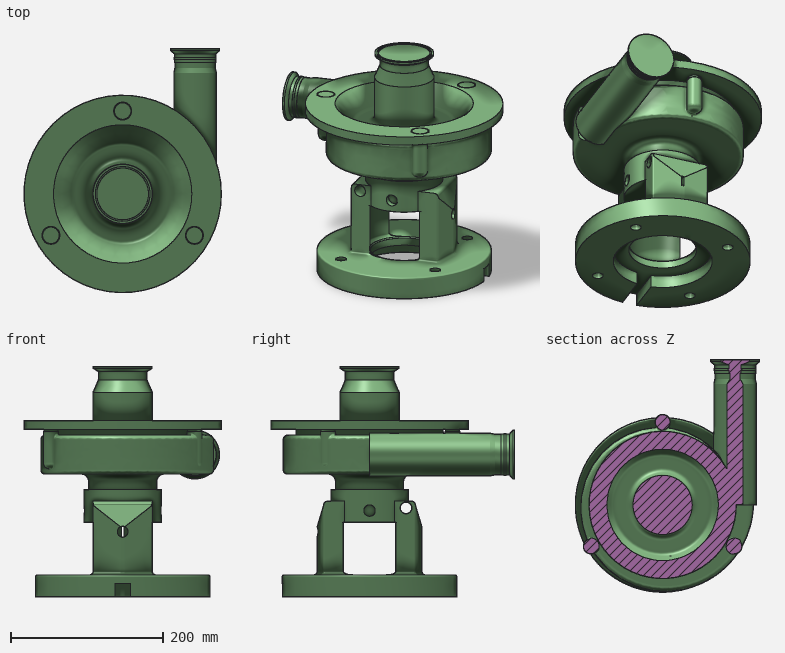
import cadquery as cq
import math


SELECTION_MARGIN = 1.0

QUARTER_ROUND_MID = 1 - math.sqrt(0.5)

BASE_RADIUS = 115.0
BASE_HEIGHT = 29.0
BASE_EDGE_FILLET = 3.0
BASE_BORE_RADIUS = 44.5
BASE_BORE_CHAMFER = 1.5
SPIGOT_RADIUS = 65.0
SPIGOT_DEPTH = 17.5
BASE_HOLE_CIRCLE_RADIUS = 92.5
BASE_HOLE_DIAMETER = 14.0
BASE_HOLE_COUNT = 4
BASE_FIRST_HOLE_ANGLE = 45.0
NOTCH_WIDTH = 20.0
NOTCH_HEIGHT = SPIGOT_DEPTH

ADAPTER_RADIUS = 51.0
ADAPTER_BOTTOM_Z = 98.0
ADAPTER_TOP_Z = 141.0
ADAPTER_HOLE_DIAMETER = 15.0
ADAPTER_HOLE_DEPTH = 10.0
ADAPTER_HOLE_Z = 113.5
NECK_RADIUS = 44.9
NECK_FLARE_RADIUS = 10.0

LEG_HALF_WIDTH = 39.0
LEG_INNER_RADIUS = 52.0
LEG_SIDE_Y = 60.5
LEG_RIDGE_Y = 69.0
LEG_RIDGE_HALF_WIDTH = 2.6
LEG_TOP_Z = 126.0
LEG_SLOPE_BOTTOM_Z = 92.0
LEG_TOP_FILLET = 5.5
LEG_SLOPE_TOP_Z = LEG_TOP_Z - LEG_TOP_FILLET
LEG_CORNER_FILLET = 2.5
LEG_FOOT_FILLET = 4.5
LEG_HOLE_DIAMETER = 14.0
LEG_HOLE_Z = 85.7
LEG_SLOT_WIDTH = 3.0
CROSS_HOLE_DIAMETER = 15.0
CROSS_HOLE_Y = 48.0
CROSS_HOLE_Z = 117.0

CASING_BOTTOM_Z = 161.5
CASING_TOP_Z = 213.0
CASING_MIDDLE_Z = (CASING_BOTTOM_Z + CASING_TOP_Z) / 2
CASING_START_RADIUS = 95.6
CASING_GROWTH = 24.0
CASING_TOP_FILLET = 6.5
CASING_BOTTOM_FILLET = 5.5

COLLAR_RADIUS = 97.0
PLATE_RADIUS = 130.0
PLATE_BOTTOM_Z = 220.5
PLATE_TOP_Z = 232.0
BOWL_MOUTH_RADIUS = 91.0
BOWL_FLOOR_RADIUS = 65.7
BOWL_FLOOR_Z = 205.5
BOWL_FLOOR_FILLET = 7.5

STUD_COUNT = 3
FIRST_STUD_ANGLE = 90.0
STUD_CIRCLE_RADIUS = 109.0
STUD_RADIUS = 10.0
STUD_BOTTOM_Z = 168.5
STUD_END_FILLET = 8.0
STUD_BLEND_FILLET = 2.0
STUD_SPACER_RADIUS = 9.2
STUD_SPACER_BOTTOM_Z = 217.5
STUD_RING_INNER_RADIUS = 10.9
STUD_RING_OUTER_RADIUS = 11.8
STUD_RING_DEPTH = 2.5

INLET_RADIUS = 39.2
INLET_ROOT_FILLET = 9.0
INLET_END_RADIUS = 32.0
INLET_TAPER_BOTTOM_Z = 269.0
INLET_TAPER_TOP_Z = 285.5
INLET_TOP_Z = 303.0
INLET_FLANGE_RADIUS = 38.8
INLET_FLANGE_THICKNESS = 2.5
INLET_FLANGE_CONE_HEIGHT = 4.0
GASKET_GROOVE_INNER_RADIUS = 34.0
GASKET_GROOVE_OUTER_RADIUS = 36.0
GASKET_GROOVE_DEPTH = 1.0

OUTLET_X = 95.3
OUTLET_Z = CASING_MIDDLE_Z
OUTLET_RADIUS = 28.1
OUTLET_NECK_RADIUS = 26.8
OUTLET_END_RADIUS = 27.2
OUTLET_TAPER_START_Y = 159.0
OUTLET_TAPER_END_Y = 165.5
OUTLET_NECK_END_Y = 173.0
OUTLET_BEAD_Y = 178.0
OUTLET_BEAD_WIDTH = 2.5
OUTLET_BEAD_RADIUS = 27.6
OUTLET_END_Y = 191.0
OUTLET_FLANGE_RADIUS = 32.2
OUTLET_FLANGE_THICKNESS = 2.6
OUTLET_FLANGE_CONE_LENGTH = 4.2


def cylinder(radius, bottom, top, x=0.0, y=0.0):
    """Upright cylinder between two heights."""
    return cq.Workplane("XY", origin=(x, y, bottom)).circle(radius).extrude(top - bottom)


def ring(inner_radius, outer_radius, depth, top, x=0.0, y=0.0):
    """Upright ring reaching down from the given height."""
    plane = cq.Workplane("XY", origin=(x, y, top - depth))
    return plane.circle(outer_radius).circle(inner_radius).extrude(depth)


def polar_point(radius, degrees):
    angle = math.radians(degrees)
    return radius * math.cos(angle), radius * math.sin(angle)


def make_leg():
    """The leg on the -Y side."""
    plan = (
        cq.Workplane("XY", origin=(0, 0, BASE_HEIGHT))
        .moveTo(-LEG_HALF_WIDTH, 0)
        .lineTo(-LEG_HALF_WIDTH, -LEG_SIDE_Y)
        .lineTo(-LEG_RIDGE_HALF_WIDTH, -LEG_RIDGE_Y)
        .lineTo(LEG_RIDGE_HALF_WIDTH, -LEG_RIDGE_Y)
        .lineTo(LEG_HALF_WIDTH, -LEG_SIDE_Y)
        .lineTo(LEG_HALF_WIDTH, 0)
        .close()
        .extrude(LEG_TOP_Z - BASE_HEIGHT)
    )
    corner_box = cq.selectors.BoxSelector(
        (-LEG_HALF_WIDTH - SELECTION_MARGIN, -LEG_SIDE_Y - SELECTION_MARGIN, 0),
        (LEG_HALF_WIDTH + SELECTION_MARGIN, -LEG_SIDE_Y + SELECTION_MARGIN, LEG_TOP_Z),
    )
    plan = plan.edges("|Z").edges(corner_box).fillet(LEG_CORNER_FILLET)
    side = (
        cq.Workplane("YZ")
        .moveTo(0, BASE_HEIGHT)
        .lineTo(-LEG_RIDGE_Y, BASE_HEIGHT)
        .lineTo(-LEG_RIDGE_Y, LEG_SLOPE_BOTTOM_Z)
        .lineTo(-LEG_SIDE_Y, LEG_SLOPE_TOP_Z)
        .threePointArc(
            (
                -LEG_SIDE_Y + LEG_TOP_FILLET * QUARTER_ROUND_MID,
                LEG_TOP_Z - LEG_TOP_FILLET * QUARTER_ROUND_MID,
            ),
            (-LEG_SIDE_Y + LEG_TOP_FILLET, LEG_TOP_Z),
        )
        .lineTo(0, LEG_TOP_Z)
        .close()
        .extrude(LEG_HALF_WIDTH, both=True)
    )
    return plan.intersect(side).cut(cylinder(LEG_INNER_RADIUS, BASE_HEIGHT, ADAPTER_BOTTOM_Z))


def make_stand():
    """Base with both legs, the stepped bore, bolt holes and rim notch."""
    base = cylinder(BASE_RADIUS, 0, BASE_HEIGHT).faces(">Z").edges().fillet(BASE_EDGE_FILLET)
    leg = make_leg()
    stand = base.union(leg).union(leg.mirror("XZ"))
    foot_reach = LEG_RIDGE_Y + SELECTION_MARGIN
    foot_box = cq.selectors.BoxSelector(
        (-foot_reach, -foot_reach, BASE_HEIGHT - SELECTION_MARGIN),
        (foot_reach, foot_reach, BASE_HEIGHT + SELECTION_MARGIN),
    )
    stand = stand.edges(foot_box).fillet(LEG_FOOT_FILLET)

    bore = (
        cylinder(BASE_BORE_RADIUS, 0, BASE_HEIGHT)
        .faces(">Z")
        .workplane(offset=-BASE_BORE_CHAMFER)
        .circle(BASE_BORE_RADIUS)
        .workplane(offset=BASE_BORE_CHAMFER)
        .circle(BASE_BORE_RADIUS + BASE_BORE_CHAMFER)
        .loft(combine=True)
    )
    stand = stand.cut(bore)
    stand = stand.cut(cylinder(SPIGOT_RADIUS, 0, SPIGOT_DEPTH))
    for index in range(BASE_HOLE_COUNT):
        x, y = polar_point(BASE_HOLE_CIRCLE_RADIUS, BASE_FIRST_HOLE_ANGLE + index * 360 / BASE_HOLE_COUNT)
        stand = stand.cut(cylinder(BASE_HOLE_DIAMETER / 2, 0, BASE_HEIGHT, x, y))
    notch_length = BASE_RADIUS - BASE_BORE_RADIUS
    notch = cq.Workplane("XY").box(NOTCH_WIDTH, notch_length, NOTCH_HEIGHT, centered=(True, False, False))
    return stand.cut(notch.translate((0, -BASE_RADIUS, 0)))


def make_adapter():
    """Adapter drum and the neck that flares into the casing floor."""
    drum = cylinder(ADAPTER_RADIUS, ADAPTER_BOTTOM_Z, ADAPTER_TOP_Z)
    flare_mid = NECK_FLARE_RADIUS * QUARTER_ROUND_MID
    neck = (
        cq.Workplane("XZ")
        .moveTo(0, ADAPTER_TOP_Z)
        .lineTo(NECK_RADIUS, ADAPTER_TOP_Z)
        .lineTo(NECK_RADIUS, CASING_BOTTOM_Z - NECK_FLARE_RADIUS)
        .threePointArc(
            (NECK_RADIUS + flare_mid, CASING_BOTTOM_Z - flare_mid),
            (NECK_RADIUS + NECK_FLARE_RADIUS, CASING_BOTTOM_Z),
        )
        .lineTo(0, CASING_BOTTOM_Z)
        .close()
        .revolve()
    )
    return drum.union(neck)


def cut_stand_holes(body):
    """Hole in the front leg, slot and cross hole in the rear leg, blind holes in the adapter."""
    leg_hole = (
        cq.Workplane("XZ", origin=(0, 0, LEG_HOLE_Z))
        .circle(LEG_HOLE_DIAMETER / 2)
        .extrude(LEG_RIDGE_Y)
    )
    leg_slot = (
        cq.Workplane("XZ", origin=(0, 0, LEG_HOLE_Z))
        .rect(LEG_SLOT_WIDTH, LEG_HOLE_DIAMETER)
        .extrude(-LEG_RIDGE_Y)
    )
    cross_hole = (
        cq.Workplane("YZ", origin=(0, CROSS_HOLE_Y, CROSS_HOLE_Z))
        .circle(CROSS_HOLE_DIAMETER / 2)
        .extrude(ADAPTER_RADIUS, both=True)
    )
    body = body.cut(leg_hole).cut(leg_slot).cut(cross_hole)
    for side in (-1, 1):
        hole = (
            cq.Workplane("YZ", origin=(side * ADAPTER_RADIUS, 0, ADAPTER_HOLE_Z))
            .circle(ADAPTER_HOLE_DIAMETER / 2)
            .extrude(-side * ADAPTER_HOLE_DEPTH)
        )
        body = body.cut(hole)
    return body


def volute_point(turn):
    """Point on the volute outline after the given fraction of a turn."""
    return polar_point(CASING_START_RADIUS + CASING_GROWTH * turn, 360 * turn)


def make_casing():
    """Volute body; its step at +X lies in the root of the outlet pipe."""
    return (
        cq.Workplane("XY", origin=(0, 0, CASING_BOTTOM_Z))
        .parametricCurve(lambda turn: (*volute_point(turn), 0), makeWire=False)
        .lineTo(*volute_point(0))
        .wire()
        .extrude(CASING_TOP_Z - CASING_BOTTOM_Z)
        .faces(">Z")
        .edges("not %LINE")
        .fillet(CASING_TOP_FILLET)
        .faces("<Z")
        .edges("not %LINE")
        .fillet(CASING_BOTTOM_FILLET)
    )


def make_outlet():
    """Outlet pipe with a bead and a clamp flange."""
    cone_end = OUTLET_END_Y - OUTLET_FLANGE_THICKNESS
    bead_start = OUTLET_BEAD_Y - OUTLET_BEAD_WIDTH / 2
    bead_end = OUTLET_BEAD_Y + OUTLET_BEAD_WIDTH / 2
    profile = [
        (0, 0),
        (OUTLET_RADIUS, 0),
        (OUTLET_RADIUS, OUTLET_TAPER_START_Y),
        (OUTLET_NECK_RADIUS, OUTLET_TAPER_END_Y),
        (OUTLET_NECK_RADIUS, OUTLET_NECK_END_Y),
        (OUTLET_END_RADIUS, OUTLET_NECK_END_Y),
        (OUTLET_END_RADIUS, bead_start),
        (OUTLET_BEAD_RADIUS, bead_start),
        (OUTLET_BEAD_RADIUS, bead_end),
        (OUTLET_END_RADIUS, bead_end),
        (OUTLET_END_RADIUS, cone_end - OUTLET_FLANGE_CONE_LENGTH),
        (OUTLET_FLANGE_RADIUS, cone_end),
        (OUTLET_FLANGE_RADIUS, OUTLET_END_Y),
        (0, OUTLET_END_Y),
    ]
    pipe = cq.Workplane("XY").polyline(profile).close().revolve(360, (0, 0), (0, 1))
    return pipe.translate((OUTLET_X, 0, OUTLET_Z))


def make_cover():
    """Collar and plate, before the bowl is cut out."""
    cover = cylinder(COLLAR_RADIUS, CASING_TOP_Z, PLATE_BOTTOM_Z)
    return cover.union(cylinder(PLATE_RADIUS, PLATE_BOTTOM_Z, PLATE_TOP_Z))


def make_bowl():
    """The conical space inside the cover, with a rounded floor edge."""
    profile = [
        (0, BOWL_FLOOR_Z),
        (BOWL_FLOOR_RADIUS, BOWL_FLOOR_Z),
        (BOWL_MOUTH_RADIUS, PLATE_TOP_Z),
        (0, PLATE_TOP_Z),
    ]
    bowl = cq.Workplane("XZ").polyline(profile).close().revolve()
    return bowl.faces("<Z").edges().fillet(BOWL_FLOOR_FILLET)


def make_inlet():
    """Inlet pipe with a flared root, a taper and a grooved clamp flange."""
    root_mid = INLET_ROOT_FILLET * QUARTER_ROUND_MID
    rim_bottom_z = INLET_TOP_Z - INLET_FLANGE_THICKNESS
    inlet = (
        cq.Workplane("XZ")
        .moveTo(0, BOWL_FLOOR_Z)
        .lineTo(INLET_RADIUS + INLET_ROOT_FILLET, BOWL_FLOOR_Z)
        .threePointArc(
            (INLET_RADIUS + root_mid, BOWL_FLOOR_Z + root_mid),
            (INLET_RADIUS, BOWL_FLOOR_Z + INLET_ROOT_FILLET),
        )
        .lineTo(INLET_RADIUS, INLET_TAPER_BOTTOM_Z)
        .lineTo(INLET_END_RADIUS, INLET_TAPER_TOP_Z)
        .lineTo(INLET_END_RADIUS, rim_bottom_z - INLET_FLANGE_CONE_HEIGHT)
        .lineTo(INLET_FLANGE_RADIUS, rim_bottom_z)
        .lineTo(INLET_FLANGE_RADIUS, INLET_TOP_Z)
        .lineTo(0, INLET_TOP_Z)
        .close()
        .revolve()
    )
    groove = ring(GASKET_GROOVE_INNER_RADIUS, GASKET_GROOVE_OUTER_RADIUS, GASKET_GROOVE_DEPTH, INLET_TOP_Z)
    return inlet.cut(groove)


def stud_centers():
    angles = [FIRST_STUD_ANGLE + index * 360 / STUD_COUNT for index in range(STUD_COUNT)]
    return [polar_point(STUD_CIRCLE_RADIUS, angle) for angle in angles]


def add_studs(casing):
    """Round-ended studs half sunk in the casing wall, blended into it where they stand out."""
    for x, y in stud_centers():
        stud = cylinder(STUD_RADIUS, STUD_BOTTOM_Z, STUD_SPACER_BOTTOM_Z, x, y)
        stud = stud.faces("<Z").edges().fillet(STUD_END_FILLET)
        casing = casing.union(stud)
        reach = STUD_RADIUS + SELECTION_MARGIN
        wall_box = cq.selectors.BoxSelector(
            (x - reach, y - reach, CASING_MIDDLE_Z - reach),
            (x + reach, y + reach, CASING_MIDDLE_Z + reach),
        )
        casing = casing.edges(wall_box).edges("not %LINE").fillet(STUD_BLEND_FILLET)
    return casing


def join_studs_to_plate(body):
    """Spacers between studs and plate, each outlined by a shallow ring in the plate top."""
    for x, y in stud_centers():
        spacer = cylinder(STUD_SPACER_RADIUS, STUD_SPACER_BOTTOM_Z, PLATE_BOTTOM_Z, x, y)
        groove = ring(STUD_RING_INNER_RADIUS, STUD_RING_OUTER_RADIUS, STUD_RING_DEPTH, PLATE_TOP_Z, x, y)
        body = body.union(spacer).cut(groove)
    return body


stand = cut_stand_holes(make_stand().union(make_adapter()))
pump = add_studs(make_casing()).union(make_outlet()).union(make_cover())
pump = join_studs_to_plate(pump.cut(make_bowl()).union(make_inlet()))
result = stand.union(pump)